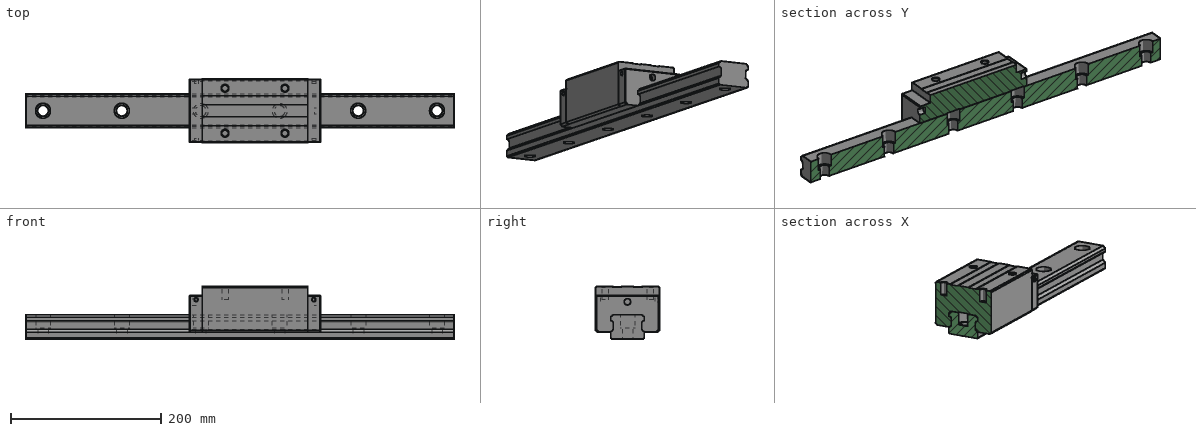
import math

import cadquery as cq

RAIL_LENGTH = 570.0
RAIL_HEIGHT = 32.5
RAIL_WIDTH = 45.0
RAIL_HALF_WIDTH = RAIL_WIDTH / 2
RAIL_FOOT_CHAMFER = 1.5
RAIL_TOP_CHAMFER = 3.5
RAIL_FOOT_TOP_Z = 9.0
RAIL_WAIST_DEPTH = 3.7
RAIL_HEAD_BOTTOM_Z = 24.5
RAIL_WAIST_HALF_WIDTH = RAIL_HALF_WIDTH - RAIL_WAIST_DEPTH

BOLT_COUNT = 6
BOLT_PITCH = 105.0
BOLT_HOLE_DIAMETER = 14.0
BOLT_HEAD_DIAMETER = 20.0
BOLT_HEAD_DEPTH = 17.0

CARRIAGE_X = 20.0
CARRIAGE_WIDTH = 85.5
CARRIAGE_BOTTOM_Z = 9.0
CARRIAGE_TOP_Z = 70.0
CARRIAGE_FOOT_CHAMFER = 3.0

BLOCK_LENGTH = 141.0
BLOCK_TOP_CHAMFER = 1.5
END_CAP_LENGTH = 17.0
END_CAP_TOP_Z = 58.0
END_CAP_CHAMFER = 1.0
END_CAP_SIDE_INSET = 0.5
END_CAP_WIDTH = CARRIAGE_WIDTH - 2 * END_CAP_SIDE_INSET

GROOVE_INNER_Y = 8.0
GROOVE_OUTER_Y = 20.0
GROOVE_DEPTH = 0.5

MOUNT_SPACING_X = 80.0
MOUNT_SPACING_Y = 60.0
MOUNT_HOLE_DIAMETER = 8.5
MOUNT_HOLE_DEPTH = 17.0
MOUNT_MOUTH_DIAMETER = 10.0

GREASE_HOLE_DIAMETER = 8.5
GREASE_HOLE_Z = 49.5
GREASE_HOLE_DEPTH = 8.5

SIDE_PORT_DIAMETER = 5.2
SIDE_PORT_Z = 52.5
SIDE_PORT_INSET = 9.0
SIDE_PORT_DEPTH = 5.5


def rail_prism(length):
    """Rail profile extruded along X, centred on X = 0.

    A 45 degree slope joins the foot to the waist; a quarter-round cove joins the waist to the head.
    """
    foot_y = RAIL_HALF_WIDTH - RAIL_FOOT_CHAMFER
    head_y = RAIL_HALF_WIDTH - RAIL_TOP_CHAMFER
    cove_middle = RAIL_WAIST_DEPTH * math.sqrt(0.5)
    cove_bottom_z = RAIL_HEAD_BOTTOM_Z - RAIL_WAIST_DEPTH
    half_profile = (
        cq.Workplane("YZ").moveTo(0, 0)
        .lineTo(foot_y, 0)
        .lineTo(RAIL_HALF_WIDTH, RAIL_FOOT_CHAMFER)
        .lineTo(RAIL_HALF_WIDTH, RAIL_FOOT_TOP_Z)
        .lineTo(RAIL_WAIST_HALF_WIDTH, RAIL_FOOT_TOP_Z + RAIL_WAIST_DEPTH)
        .lineTo(RAIL_WAIST_HALF_WIDTH, cove_bottom_z)
        .threePointArc((RAIL_HALF_WIDTH - cove_middle, cove_bottom_z + cove_middle),
                       (RAIL_HALF_WIDTH, RAIL_HEAD_BOTTOM_Z))
        .lineTo(RAIL_HALF_WIDTH, RAIL_HEIGHT - RAIL_TOP_CHAMFER)
        .lineTo(head_y, RAIL_HEIGHT)
        .lineTo(0, RAIL_HEIGHT)
    )
    profile = half_profile.mirrorY()
    return profile.extrude(length / 2, both=True)


def make_rail():
    """Rail with a row of counterbored bolt holes."""
    return (
        rail_prism(RAIL_LENGTH)
        .faces(">Z").workplane()
        .rarray(BOLT_PITCH, 5.5, BOLT_COUNT, 1)
        .cboreHole(BOLT_HOLE_DIAMETER, BOLT_HEAD_DIAMETER, BOLT_HEAD_DEPTH)
    )


def carriage_box(length, width, top_z):
    """Box with chamfered lower long edges, standing on the carriage's underside, centred on X = 0."""
    box = cq.Workplane("XY").workplane(offset=CARRIAGE_BOTTOM_Z).box(
        length, width, top_z - CARRIAGE_BOTTOM_Z, centered=(True, True, False))
    return box.edges("|X and <Z").chamfer(CARRIAGE_FOOT_CHAMFER)


def make_carriage():
    """Block with a lower cap at each end, running on the rail through a matching channel."""
    total_length = BLOCK_LENGTH + 2 * END_CAP_LENGTH
    end_caps = carriage_box(total_length, END_CAP_WIDTH, END_CAP_TOP_Z)
    end_caps = end_caps.edges("(|X and >Z) or ((<X or >X) and (not <Z))").chamfer(END_CAP_CHAMFER)
    block = carriage_box(BLOCK_LENGTH, CARRIAGE_WIDTH, CARRIAGE_TOP_Z)
    block = block.edges("|X and >Z").chamfer(BLOCK_TOP_CHAMFER)
    body = block.union(end_caps)
    body = body.cut(rail_prism(total_length))

    groove = cq.Workplane("XY").box(
        BLOCK_LENGTH, GROOVE_OUTER_Y - GROOVE_INNER_Y, 2 * GROOVE_DEPTH)
    for side in (-1, 1):
        groove_y = side * (GROOVE_OUTER_Y + GROOVE_INNER_Y) / 2
        body = body.cut(groove.translate((0, groove_y, CARRIAGE_TOP_Z)))

    mount_hole = cq.Workplane("XZ").polyline([
        (0, 0),
        (MOUNT_MOUTH_DIAMETER / 2, 0),
        (MOUNT_HOLE_DIAMETER / 2, (MOUNT_HOLE_DIAMETER - MOUNT_MOUTH_DIAMETER) / 2),
        (MOUNT_HOLE_DIAMETER / 2, -MOUNT_HOLE_DEPTH),
        (0, -MOUNT_HOLE_DEPTH),
    ]).close().revolve(360, (0, 0), (0, 1))
    for side_x in (-1, 1):
        for side_y in (-1, 1):
            hole_x = side_x * MOUNT_SPACING_X / 2
            hole_y = side_y * MOUNT_SPACING_Y / 2
            body = body.cut(mount_hole.translate((hole_x, hole_y, CARRIAGE_TOP_Z)))

    for end in (-1, 1):
        face_x = end * total_length / 2
        grease_hole = (
            cq.Workplane("YZ", origin=(face_x, 0, GREASE_HOLE_Z))
            .circle(GREASE_HOLE_DIAMETER / 2).extrude(-end * GREASE_HOLE_DEPTH)
        )
        body = body.cut(grease_hole)

        port_x = face_x - end * SIDE_PORT_INSET
        for side in (-1, 1):
            port = (
                cq.Workplane("XZ", origin=(port_x, side * END_CAP_WIDTH / 2, SIDE_PORT_Z))
                .circle(SIDE_PORT_DIAMETER / 2).extrude(side * SIDE_PORT_DEPTH)
            )
            body = body.cut(port)

    return body.translate((CARRIAGE_X, 0, 0))


rail = make_rail()
carriage = make_carriage()

result = cq.Compound.makeCompound([rail.val(), carriage.val()])